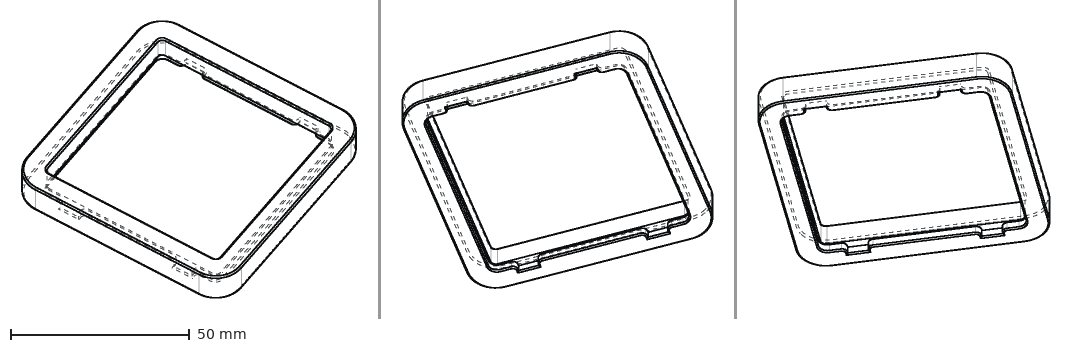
import cadquery as cq

frame_side = 72.1
frame_height = 9.5
frame_corner_radius = 8.5
frame_wall = 7.0
top_chamfer = 0.5
bottom_chamfer = 0.4

opening_side = frame_side - 2 * frame_wall
opening_corner_radius = 1.5

rebate_depth = 2.5
rebate_step = 0.5
rebate_side = opening_side + 2 * rebate_step
rebate_corner_radius = 2.5

notch_offset = 19.1
notch_width = 6.0
notch_reach = 2.0
notch_mouth_radius = 1.5


def rounded_square(side, corner_radius, height):
    """Square block standing on Z = 0 with rounded vertical edges."""
    return cq.Workplane("XY").rect(side, side).extrude(height).edges("|Z").fillet(corner_radius)


def notch(center_x, wall_side):
    """Cutter for one notch in the +Y (1) or -Y (-1) wall, its mouth flared by tangent arcs."""
    half_width = notch_width / 2
    mouth_half_width = half_width + notch_mouth_radius
    mouth_y = rebate_side / 2
    throat_y = mouth_y + notch_mouth_radius
    end_y = mouth_y + notch_reach
    outline = (
        cq.Workplane("XY")
        .moveTo(-mouth_half_width, 0)
        .lineTo(-mouth_half_width, mouth_y)
        .radiusArc((-half_width, throat_y), -notch_mouth_radius)
        .lineTo(-half_width, end_y)
        .lineTo(half_width, end_y)
        .lineTo(half_width, throat_y)
        .radiusArc((mouth_half_width, mouth_y), -notch_mouth_radius)
        .lineTo(mouth_half_width, 0)
        .close()
    )
    cutter = outline.extrude(rebate_depth)
    if wall_side < 0:
        cutter = cutter.mirror("XZ")
    return cutter.translate((center_x, 0, 0))


def rebate():
    """Cutter for the rebate with its four notches."""
    cutter = rounded_square(rebate_side, rebate_corner_radius, rebate_depth)
    for center_x in (-notch_offset, notch_offset):
        for wall_side in (-1, 1):
            cutter = cutter.union(notch(center_x, wall_side))
    return cutter.clean()


frame = rounded_square(frame_side, frame_corner_radius, frame_height)
frame = frame.cut(rounded_square(opening_side, opening_corner_radius, frame_height))
frame = frame.cut(rebate())

frame = frame.faces(">Z").chamfer(top_chamfer)
result = frame.faces("<Z").chamfer(bottom_chamfer)